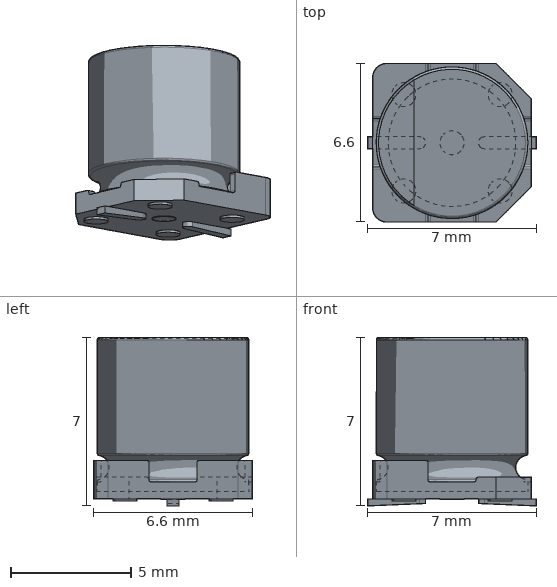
import cadquery as cq

overall_height = 7.0
lead_span = 7.0

base_width = 6.6
base_bottom = 0.3
base_corner_radius = 0.6
base_corner_chamfer = 1.48
tall_corner_top = 1.9
low_corner_top = 1.2
notch_floor = 1.0
notch_width = 2.0
notch_fillet = 0.1
size_tolerance = 1e-6
foot_diameter = 1.0
foot_height = 0.1
foot_offset = 2.0
center_pad_diameter = 1.0
center_pad_height = 0.03

can_diameter = 6.3
can_radius = can_diameter / 2
can_bottom = 0.6
can_edge_fillet = 0.1
groove_radius = 0.5
groove_center_height = 1.6

mark_thickness = 0.05
mark_radius = can_radius - can_edge_fillet
mark_edge_x = -can_radius / 2

lead_width = 0.5
lead_inner_end = 1.1
lead_inner_lift = 0.1


def base_outline():
    """Square plan, rounded at -X and cut off at 45 degrees at +X, built to the tall corner height."""
    block = (
        cq.Workplane("XY")
        .workplane(offset=base_bottom)
        .rect(base_width, base_width)
        .extrude(tall_corner_top - base_bottom)
    )
    block = block.edges("|Z and <X").fillet(base_corner_radius)
    return block.edges("|Z and >X").chamfer(base_corner_chamfer)


def shoulder(side, top):
    """Raised block beyond the notch on one side: a wall with an S of two fillets, extruded along Y."""
    wall = side * notch_width / 2
    outer = side * base_width / 2
    inward = side * notch_fillet
    fillet_sweep = -side * notch_fillet
    profile = (
        cq.Workplane("XZ")
        .moveTo(outer, notch_floor)
        .lineTo(wall - inward, notch_floor)
        .radiusArc((wall, notch_floor + notch_fillet), fillet_sweep)
    )
    if top > notch_floor + 2 * notch_fillet + size_tolerance:
        profile = profile.lineTo(wall, top - notch_fillet)
    return (
        profile.radiusArc((wall + inward, top), -fillet_sweep)
        .lineTo(outer, top)
        .close()
        .extrude(base_width / 2, both=True)
    )


def stepped_profile(left_top, right_top):
    """Block with a central notch along Y between two shoulders."""
    floor = (
        cq.Workplane("XY")
        .workplane(offset=base_bottom)
        .rect(base_width, base_width)
        .extrude(notch_floor - base_bottom)
    )
    return floor.union(shoulder(-1, left_top)).union(shoulder(1, right_top))


def side_notch_profile(shoulder_top):
    """The same notch seen along X, with equal shoulders at both sides."""
    return stepped_profile(shoulder_top, shoulder_top).rotate((0, 0, 0), (0, 0, 1), 90)


def half_block(side):
    """Block covering the base on one side of X = 0 (side is -1 or +1)."""
    return (
        cq.Workplane("XY")
        .center(side * base_width / 4, 0)
        .rect(base_width / 2, base_width)
        .extrude(overall_height)
    )


def make_base():
    tall_half = side_notch_profile(tall_corner_top).intersect(half_block(-1))
    low_half = side_notch_profile(low_corner_top).intersect(half_block(1))
    base = base_outline()
    base = base.intersect(stepped_profile(tall_corner_top, low_corner_top))
    base = base.intersect(tall_half.union(low_half))

    can_seat = cq.Workplane("XY").workplane(offset=can_bottom).circle(can_radius).extrude(overall_height)
    base = base.cut(can_seat)

    underside = cq.Workplane("XY").workplane(offset=base_bottom)
    feet = (
        underside.rect(2 * foot_offset, 2 * foot_offset, forConstruction=True)
        .vertices()
        .circle(foot_diameter / 2)
        .extrude(-foot_height)
    )
    center_pad = underside.circle(center_pad_diameter / 2).extrude(-center_pad_height)
    return base.union(feet).union(center_pad)


def make_mark():
    """Circular segment on the -X side, flush with the can top."""
    disc = (
        cq.Workplane("XY")
        .workplane(offset=overall_height - mark_thickness)
        .circle(mark_radius)
        .extrude(mark_thickness)
    )
    keep = (
        cq.Workplane("XY")
        .center(mark_edge_x - can_radius / 2, 0)
        .rect(can_radius, can_diameter)
        .extrude(overall_height)
    )
    return disc.intersect(keep)


def make_can(mark):
    can = (
        cq.Workplane("XY")
        .workplane(offset=can_bottom)
        .circle(can_radius)
        .extrude(overall_height - can_bottom)
    )
    groove = cq.Workplane(
        cq.Solid.makeTorus(can_radius, groove_radius, cq.Vector(0, 0, groove_center_height))
    )
    can = can.cut(groove)

    reach = groove_radius + can_edge_fillet
    groove_rims = cq.selectors.BoxSelector(
        (-can_diameter, -can_diameter, groove_center_height - reach),
        (can_diameter, can_diameter, groove_center_height + reach),
    )
    can = can.edges("%CIRCLE").edges(groove_rims).fillet(can_edge_fillet)
    can = can.faces(">Z").edges().fillet(can_edge_fillet)
    return can.cut(mark)


def make_lead(side):
    """Flat lead under the base: wedge-shaped from the side, with a round inner end (side is -1 or +1)."""
    outer_end = lead_span / 2
    wedge = (
        cq.Workplane("XZ")
        .moveTo(side * lead_inner_end, base_bottom)
        .lineTo(side * outer_end, base_bottom)
        .lineTo(side * outer_end, 0)
        .lineTo(side * lead_inner_end, lead_inner_lift)
        .close()
        .extrude(lead_width / 2, both=True)
    )
    round_center = lead_inner_end + lead_width / 2
    straight_length = outer_end - round_center
    plan = (
        cq.Workplane("XY")
        .center(side * (round_center + straight_length / 2), 0)
        .rect(straight_length, lead_width)
        .extrude(base_bottom)
    )
    inner_end = cq.Workplane("XY").center(side * round_center, 0).circle(lead_width / 2).extrude(base_bottom)
    return wedge.intersect(plan.union(inner_end))


base = make_base()
mark = make_mark()
can = make_can(mark)
leads = [make_lead(side) for side in (-1, 1)]

bodies = [base, can, mark, *leads]

result = cq.Compound.makeCompound([body.solids().val() for body in bodies])